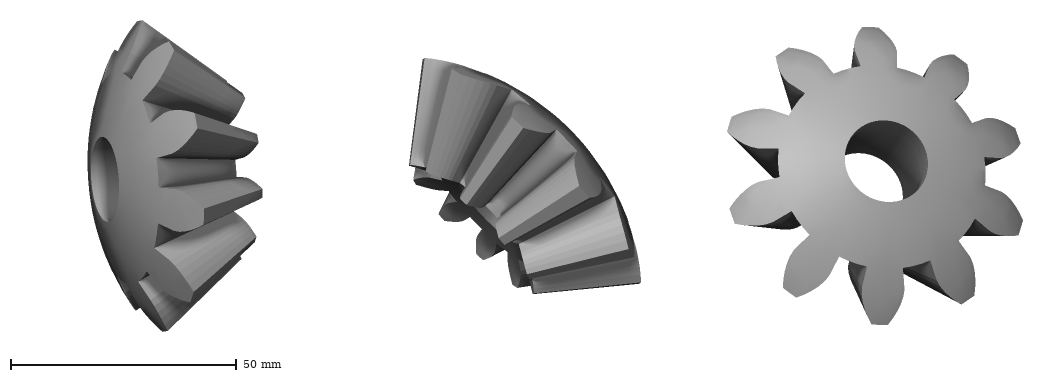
import cadquery as cq
import math

TOOTH_COUNT = 10
MATE_TOOTH_COUNT = 16
PRESSURE_ANGLE = 20
OUTER_RADIUS = 56.2
INNER_RADIUS = 32.15
ROOT_ANGLE = 24.9
BORE_RADIUS = 9.5
AXIS_TILT = 7.4
FLANK_FACETS = 5
OVERREACH = 0.1

pitch_cone = math.atan(TOOTH_COUNT / MATE_TOOTH_COUNT)
base_cone = math.asin(math.cos(math.radians(PRESSURE_ANGLE)) * math.sin(pitch_cone))
addendum_angle = 2 * math.sin(pitch_cone) / TOOTH_COUNT
tip_cone = pitch_cone + addendum_angle
root_cone = math.radians(ROOT_ANGLE)
tooth_pitch = 2 * math.pi / TOOTH_COUNT


def involute_turn(cone):
    """Turn about the axis of a spherical involute, from the base cone to the given cone."""
    roll = math.acos(min(1, math.cos(cone) / math.cos(base_cone)))
    contact = math.acos(min(1, math.tan(base_cone) / math.tan(cone)))
    return roll / math.sin(base_cone) - contact


base_half_width = tooth_pitch / 4 + involute_turn(pitch_cone)


def section_point(cone, turn, height):
    """Point where a ray from the apex meets the plane at the given height on the axis."""
    radius = height * math.tan(cone)
    return (radius * math.cos(turn), radius * math.sin(turn))


def tooth_section(height):
    """Flat section of all teeth: straight chords on the flanks and tips, arcs on the root cone."""
    cone_step = (tip_cone - base_cone) / FLANK_FACETS
    cones = [base_cone + i * cone_step for i in range(FLANK_FACETS + 1)]
    flank = [(root_cone, base_half_width)]
    flank += [(cone, base_half_width - involute_turn(cone)) for cone in cones]

    section = cq.Workplane("XY", origin=(0, 0, height))
    section = section.moveTo(*section_point(root_cone, -base_half_width, height))
    for tooth in range(TOOTH_COUNT):
        middle = tooth * tooth_pitch
        for cone, half_width in flank[1:]:
            section = section.lineTo(*section_point(cone, middle - half_width, height))
        for cone, half_width in reversed(flank):
            section = section.lineTo(*section_point(cone, middle + half_width, height))
        gap_middle = middle + tooth_pitch / 2
        next_tooth = middle + tooth_pitch - base_half_width
        section = section.threePointArc(
            section_point(root_cone, gap_middle, height),
            section_point(root_cone, next_tooth, height),
        )
    return section.close().val()


def toothed_cone():
    """Teeth and root cone, tapering to the apex and reaching past both end spheres."""
    near = (1 - OVERREACH) * INNER_RADIUS * math.cos(tip_cone)
    far = (1 + OVERREACH) * OUTER_RADIUS
    return cq.Workplane(cq.Solid.makeLoft([tooth_section(near), tooth_section(far)], True))


def sphere_point(sphere_radius, cone):
    """Point in the axial half plane where a cone from the apex meets a sphere around the apex."""
    return (sphere_radius * math.sin(cone), sphere_radius * math.cos(cone))


def blank():
    """Bored ring between the two end spheres, reaching past the tooth tips."""
    rim_cone = tip_cone + addendum_angle
    back_bore_cone = math.asin(BORE_RADIUS / OUTER_RADIUS)
    hollow_bore_cone = math.asin(BORE_RADIUS / INNER_RADIUS)
    return (
        cq.Workplane("XZ")
        .moveTo(*sphere_point(OUTER_RADIUS, back_bore_cone))
        .threePointArc(
            sphere_point(OUTER_RADIUS, (back_bore_cone + rim_cone) / 2),
            sphere_point(OUTER_RADIUS, rim_cone),
        )
        .lineTo(*sphere_point(INNER_RADIUS, rim_cone))
        .threePointArc(
            sphere_point(INNER_RADIUS, (hollow_bore_cone + rim_cone) / 2),
            sphere_point(INNER_RADIUS, hollow_bore_cone),
        )
        .close()
        .revolve(360, (0, 0), (0, 1))
    )


gear = blank().intersect(toothed_cone())

result = gear.rotate((0, 0, 0), (0, 0, 1), 90).rotate((0, 0, 0), (1, 0, 0), 90 - AXIS_TILT)